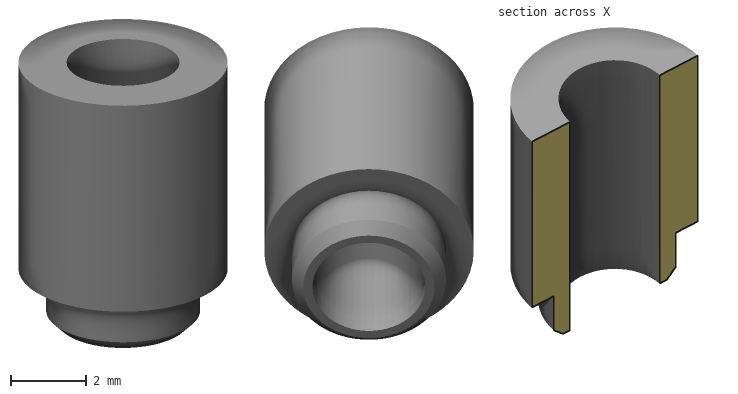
import cadquery as cq

total_height = 7.53
body_height = 6.0
body_diameter = 5.56
spigot_diameter = 4.09
bore_diameter = 3.0
spigot_chamfer = 0.3

spigot_height = total_height - body_height

spigot = (
    cq.Workplane("XY")
    .circle(spigot_diameter / 2)
    .extrude(spigot_height)
    .faces("<Z")
    .chamfer(spigot_chamfer)
)

body = (
    cq.Workplane("XY", origin=(0, 0, spigot_height))
    .circle(body_diameter / 2)
    .extrude(body_height)
)

bore = cq.Workplane("XY").circle(bore_diameter / 2).extrude(total_height)

result = body.union(spigot).cut(bore)